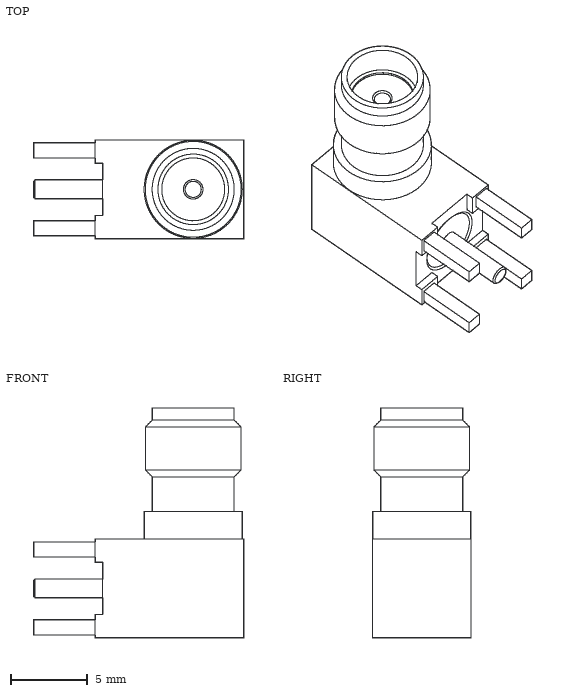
import cadquery as cq


body_side = 6.45
body_length = 9.7
axis_to_mounting_face = 6.4
mounting_face_x = -axis_to_mounting_face
body_center_z = body_side / 2

foot_height = 0.5
gap_between_feet = 3.38
seat_face_x = mounting_face_x + foot_height

post_length = 4.0
post_side = 1.0
post_pitch = 5.08
pin_diameter = 1.25
pin_tip_chamfer = 0.1
lead_end_x = mounting_face_x - post_length

recess_mouth_diameter = 4.4
recess_floor_diameter = 4.1
recess_depth = 0.1

flange_diameter = 6.4
flange_height = 1.8
neck_diameter = 5.35
thread_diameter = 6.25
thread_chamfer = (thread_diameter - neck_diameter) / 2
barrel_top_z = 15.0
nose_height = 0.8
thread_length = 3.7
flange_top_z = body_side + flange_height
thread_top_z = barrel_top_z - nose_height
thread_bottom_z = thread_top_z - thread_length

bore_diameter = 4.6
bore_depth = 1.95
insulator_diameter = 4.1
insulator_recess = 0.15
socket_diameter = 1.05
socket_mouth_diameter = 1.27
socket_chamfer = (socket_mouth_diameter - socket_diameter) / 2
socket_depth = 2.5


def box_from(x_start, length, width, height):
    """Box centered on the center-pin axis, running in +X from x_start."""
    return (
        cq.Workplane("XY")
        .box(length, width, height, centered=(False, True, True))
        .translate((x_start, 0, body_center_z))
    )


def pin_axis_plane(x):
    """Workplane facing +X, centered on the center-pin axis."""
    return cq.Workplane("YZ", origin=(x, 0, body_center_z))


def make_body():
    block = box_from(mounting_face_x, body_length, body_side, body_side)
    across_y = box_from(mounting_face_x, foot_height, body_side, gap_between_feet)
    across_z = box_from(mounting_face_x, foot_height, gap_between_feet, body_side)
    return block.cut(across_y).cut(across_z)


def make_pin_recess():
    return (
        pin_axis_plane(seat_face_x)
        .circle(recess_mouth_diameter / 2)
        .workplane(offset=recess_depth)
        .circle(recess_floor_diameter / 2)
        .loft(ruled=True)
    )


def make_ground_posts():
    return (
        pin_axis_plane(lead_end_x)
        .rarray(post_pitch, post_pitch, 2, 2)
        .rect(post_side, post_side)
        .extrude(post_length)
    )


def make_center_pin():
    pin_length = seat_face_x + recess_depth - lead_end_x
    pin = pin_axis_plane(lead_end_x).circle(pin_diameter / 2).extrude(pin_length)
    return pin.faces("<X").chamfer(pin_tip_chamfer)


def make_barrel():
    flange_radius = flange_diameter / 2
    neck_radius = neck_diameter / 2
    thread_radius = thread_diameter / 2
    profile = [
        (0, body_side),
        (flange_radius, body_side),
        (flange_radius, flange_top_z),
        (neck_radius, flange_top_z),
        (neck_radius, thread_bottom_z),
        (thread_radius, thread_bottom_z + thread_chamfer),
        (thread_radius, thread_top_z - thread_chamfer),
        (neck_radius, thread_top_z),
        (neck_radius, barrel_top_z),
        (0, barrel_top_z),
    ]
    return cq.Workplane("XZ").polyline(profile).close().revolve(360, (0, 0), (0, 1))


def make_bore():
    bore_radius = bore_diameter / 2
    insulator_radius = insulator_diameter / 2
    socket_radius = socket_diameter / 2
    ledge_z = barrel_top_z - bore_depth
    insulator_z = ledge_z - insulator_recess
    profile = [
        (0, barrel_top_z),
        (bore_radius, barrel_top_z),
        (bore_radius, ledge_z),
        (insulator_radius, ledge_z),
        (insulator_radius, insulator_z),
        (socket_mouth_diameter / 2, insulator_z),
        (socket_radius, insulator_z - socket_chamfer),
        (socket_radius, insulator_z - socket_depth),
        (0, insulator_z - socket_depth),
    ]
    return cq.Workplane("XZ").polyline(profile).close().revolve(360, (0, 0), (0, 1))


result = (
    make_body()
    .cut(make_pin_recess())
    .union(make_ground_posts())
    .union(make_center_pin())
    .union(make_barrel())
    .cut(make_bore())
)